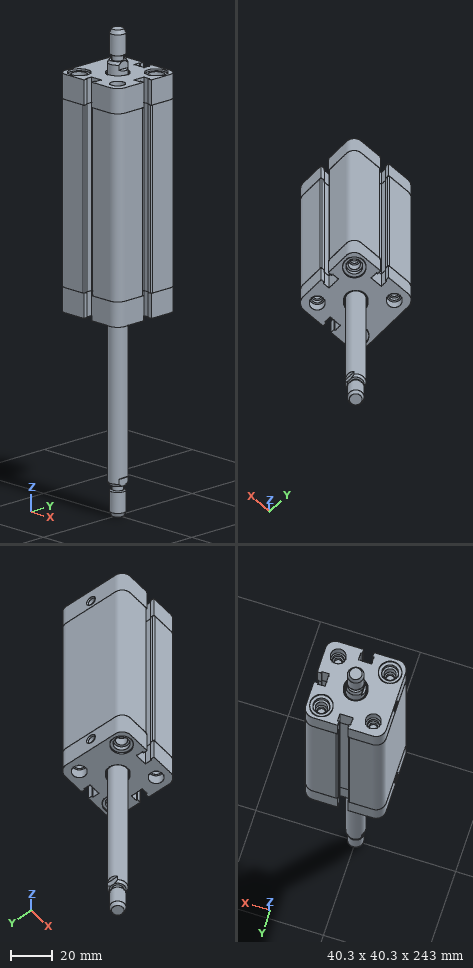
import cadquery as cq


overall_length = 243.0
body_side = 40.3
body_height = 119.0
stroke = 80.0
cap_height = 12.6
corner_radius = 5.0
rod_projection = (overall_length - body_height - stroke) / 2

slot_opening = 5.0
slot_width = 6.5
slot_depth = 5.8
slot_lip = 2.2
slot_edge_chamfer = 0.7

hole_pitch = 26.0
screw_hole_steps = [(11.2, 1.0), (8.0, 3.5), (5.8, 8.3), (4.1, 10.7)]
rod_recess_steps = [(12.0, 0.7), (11.0, 2.5)]
plain_hole_steps = [(7.5, 5.8), (5.8, 8.3), (4.1, 10.7)]

port_diameter = 4.1
port_mouth_diameter = 5.3
port_offset = 7.8
port_depth = 5.8

rod_diameter = 10.0
thread_diameter = 8.0
thread_end = 13.1
thread_runout = 0.5
tip_diameter = 6.0
tip_length = 2.2
neck_diameter = 5.8
neck_end = 15.5
shoulder_diameter = 8.0
shoulder_chamfer_length = 1.5
flat_width = 7.8
flat_end = 19.5
flat_runout = 0.7


def slot_cutter(height, opening_chamfer):
    """T-shaped slot running along Z in the -Y side."""
    face = -body_side / 2
    lip = face + slot_lip
    floor = face + slot_depth
    narrow = slot_opening / 2
    wide = slot_width / 2
    cutter = (
        cq.Workplane("XY")
        .polyline(
            [(-narrow, face), (-narrow, lip), (-wide, lip), (-wide, floor),
             (wide, floor), (wide, lip), (narrow, lip), (narrow, face)]
        )
        .close()
        .extrude(height)
    )
    if opening_chamfer > 0:
        bevel = (
            cq.Workplane("XY")
            .polyline(
                [(-narrow - opening_chamfer, face), (-narrow, face + opening_chamfer),
                 (narrow, face + opening_chamfer), (narrow + opening_chamfer, face)]
            )
            .close()
            .extrude(height)
        )
        cutter = cutter.union(bevel)
    return cutter


def slotted_block(height, opening_chamfer=0.0):
    """Rounded square block on Z = 0 with a slot in its -Y, +X and +Y sides and a rod bore."""
    block = (
        cq.Workplane("XY")
        .rect(body_side, body_side)
        .extrude(height)
        .edges("|Z")
        .fillet(corner_radius)
    )
    cutter = slot_cutter(height, opening_chamfer)
    for angle in (0, 90, 180):
        block = block.cut(cutter.rotate((0, 0, 0), (0, 0, 1), angle))
    return block.faces(">Z").workplane().hole(rod_diameter)


def stepped_hole_cutter(x, y, steps):
    """Stack of cylinders sunk from the top of a cap."""
    cutter = cq.Workplane("XY")
    for diameter, depth in steps:
        step = cq.Workplane("XY").circle(diameter / 2).extrude(-depth)
        cutter = cutter.union(step)
    return cutter.translate((x, y, cap_height))


def port_cutter():
    """Blind round hole with a countersunk mouth in the -X side of a cap."""
    countersink = (port_mouth_diameter - port_diameter) / 2
    profile = [
        (0, 0),
        (port_mouth_diameter / 2, 0),
        (port_diameter / 2, countersink),
        (port_diameter / 2, port_depth),
        (0, port_depth),
    ]
    port = cq.Workplane("XY").polyline(profile).close().revolve(360, (0, 0, 0), (0, 1, 0))
    port = port.rotate((0, 0, 0), (0, 0, 1), -90)
    return port.translate((-body_side / 2, 0, cap_height - port_offset))


def make_cap():
    """End cap with its inner face on Z = 0 and its outer face up."""
    cap = slotted_block(cap_height)
    cap = cap.cut(stepped_hole_cutter(0, 0, rod_recess_steps)).cut(port_cutter())
    reach = hole_pitch / 2
    for side in (1, -1):
        cap = cap.cut(stepped_hole_cutter(side * reach, side * reach, screw_hole_steps))
        cap = cap.cut(stepped_hole_cutter(-side * reach, side * reach, plain_hole_steps))
    return cap


def rod_end_profile():
    """(radius, distance from the tip) points of one rod end, from the tip to the full diameter."""
    return [
        (tip_diameter / 2, 0),
        (thread_diameter / 2, tip_length),
        (thread_diameter / 2, thread_end - thread_runout),
        (neck_diameter / 2, thread_end),
        (neck_diameter / 2, neck_end),
        (shoulder_diameter / 2, neck_end),
        (rod_diameter / 2, neck_end + shoulder_chamfer_length),
    ]


def flat_cutter():
    """Material beside the +X wrench flat below a rod tip on Z = 0, ending in a slope."""
    flat = flat_width / 2
    surface = rod_diameter / 2
    return (
        cq.Workplane("XZ")
        .polyline(
            [(flat, -neck_end), (surface, -neck_end),
             (surface, -flat_end - flat_runout), (flat, -flat_end)]
        )
        .close()
        .extrude(rod_diameter, both=True)
    )


def make_rod():
    """Through rod with the same threaded end and wrench flats at both ends."""
    top = body_height + rod_projection
    bottom = top - overall_length
    upper = [(radius, top - distance) for radius, distance in rod_end_profile()]
    lower = [(radius, bottom + distance) for radius, distance in reversed(rod_end_profile())]
    outline = [(0, top)] + upper + lower + [(0, bottom)]
    rod = cq.Workplane("XZ").polyline(outline).close().revolve(360, (0, 0, 0), (0, 1, 0))
    upper_flat = flat_cutter().translate((0, 0, top))
    lower_flat = flat_cutter().mirror("XY").translate((0, 0, bottom))
    for cutter in (upper_flat, lower_flat):
        rod = rod.cut(cutter).cut(cutter.mirror("YZ"))
    return rod


barrel = slotted_block(body_height - 2 * cap_height, slot_edge_chamfer).translate((0, 0, cap_height))
upper_cap = make_cap().translate((0, 0, body_height - cap_height))
lower_cap = make_cap().mirror("XY").translate((0, 0, cap_height))
rod = make_rod()

result = cq.Compound.makeCompound([barrel.val(), upper_cap.val(), lower_cap.val(), rod.val()])